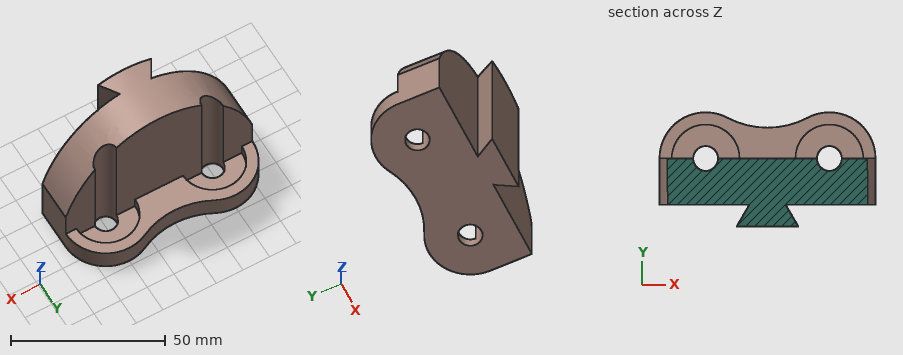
import cadquery as cq
import math

width = 70.0
height = 50.0
depth = 37.0

hole_offset = 20.0
hole_diameter = 8.0
foot_thickness = 8.0
waist_depth = 10.0
recess_diameter = 22.0
recess_depth = 4.0

crown_half_width = 37.5

rail_width = 20.0
rail_flank_angle = 30.0

half_width = width / 2
ear_radius = half_width - hole_offset
plate_thickness = ear_radius
rail_depth = depth - plate_thickness - ear_radius
front_y = -plate_thickness - rail_depth


def crown_prism():
    """Elliptical prism running through the full depth of plate and rail."""
    return cq.Workplane("XZ").ellipse(crown_half_width, height).extrude(-front_y)


def plate_and_rail():
    """Plan outline of the plate and dovetail, topped by the arched crown."""
    tip = rail_width / 2
    root = tip - rail_depth * math.tan(math.radians(rail_flank_angle))
    plan = (
        cq.Workplane("XY")
        .polyline([
            (-half_width, 0),
            (-half_width, -plate_thickness),
            (-root, -plate_thickness),
            (-tip, front_y),
            (tip, front_y),
            (root, -plate_thickness),
            (half_width, -plate_thickness),
            (half_width, 0),
        ])
        .close()
        .extrude(height)
    )
    return plan.intersect(crown_prism())


def foot():
    """Half-round ears with a waist arc tangent to both of them."""
    waist_radius = (hole_offset**2 + waist_depth**2 - ear_radius**2) / (2 * (ear_radius - waist_depth))
    centre_distance = ear_radius + waist_radius
    tangent_x = hole_offset * waist_radius / centre_distance
    tangent_y = (waist_depth + waist_radius) * ear_radius / centre_distance
    return (
        cq.Workplane("XY")
        .moveTo(-half_width, 0)
        .threePointArc((-hole_offset, ear_radius), (-tangent_x, tangent_y))
        .threePointArc((0, waist_depth), (tangent_x, tangent_y))
        .threePointArc((hole_offset, ear_radius), (half_width, 0))
        .close()
        .extrude(foot_thickness)
    )


def vertical_cylinders(diameter, bottom, top):
    """One cylinder on each ear centre."""
    return (
        cq.Workplane("XY", origin=(0, 0, bottom))
        .pushPoints([(-hole_offset, 0), (hole_offset, 0)])
        .circle(diameter / 2)
        .extrude(top - bottom)
    )


recessed_foot = foot().cut(
    vertical_cylinders(recess_diameter, foot_thickness - recess_depth, foot_thickness)
)
result = (
    recessed_foot
    .union(plate_and_rail())
    .cut(vertical_cylinders(hole_diameter, 0, height))
)